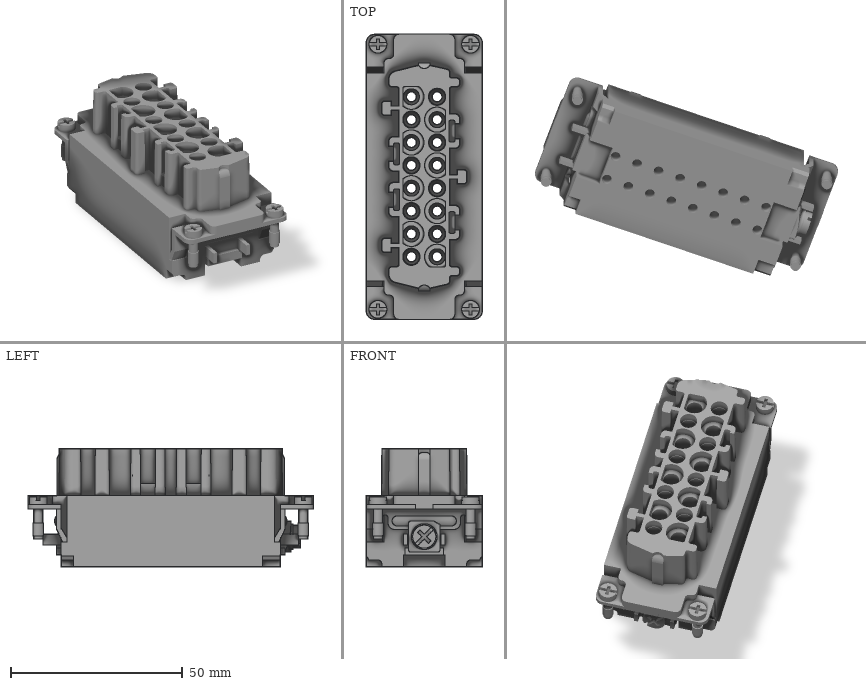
import cadquery as cq
import math

TOTAL_HEIGHT = 34.6
DECK_TOP = 20.9
FLANGE_TOP = 18.2
SHEET = 1.3
FLANGE_BOTTOM = FLANGE_TOP - SHEET

LENGTH = 83.5
HALF_LENGTH = LENGTH / 2
WIDTH = 34.0
HALF_WIDTH = WIDTH / 2
BODY_END = 32.1
RECESS_HALF_X = 11.8
RECESS_END = 30.4
RECESS_FLOOR = 7.35
OPENING_TOP = 3.5
TAB_HALF_X = 8.9
TAB_SHOULDER = 34.6
TAB_RADIUS = 1.7
SHOULDER_RADIUS = 1.3

FLANGE_RADIUS = 2.5
FLANGE_KEY_HALF_X = 2.6
LEG_INNER_X = 12.3
BRACKET_SETBACK = 0.1
LEG_OUTER_X = HALF_WIDTH - BRACKET_SETBACK
FLANGE_END = HALF_LENGTH - BRACKET_SETBACK
LEG_BEND = 11.0
APRON_HALF_X = 10.6
APRON_BOTTOM = 10.9
APRON_RADIUS = 2.0
SLIT_TOP = 15.2
RIB_HALF_X = 7.9
RIB_Z = 13.45
RIB_WIDTH = 2.9
RIB_RISE = 0.6

SCREW_X = 13.5
SCREW_Y = 38.75
HEAD_DIAMETER = 5.2
HEAD_HEIGHT = 2.25
DRIVE_WIDTH = 1.0
DRIVE_DEPTH = 1.1

PITCH = 6.7
ROWS = 8
COLUMN_X = 3.75
POCKET_RADIUS = 3.7
POCKET_HALF_X = 6.3
POCKET_END = 26.4
POCKET_DEPTH = 2.9
RIM_DIAMETER = 5.0
BORE_DIAMETER = 4.7
WIRE_DIAMETER = 2.8
BORE_FLOOR = 22.55

BLOCK_HEIGHT = TOTAL_HEIGHT - DECK_TOP
DRAFT = 0.5
CORE_HALF_X = 7.5
LUG_X = 10.4
HEAD_START = 26.2
LUG_END = 29.0
HEAD_SIDE_END = 31.3
HEAD_TIP = 32.65
HEAD_CORNER = 30.5
HEAD_CORNER_RADIUS = 2.5
HEAD_SIDE_RADIUS = 1.0
LUG_RADIUS = 1.0
KEY_HALF_X = 1.7
KEY_TIP = 33.3
TEE_OUTER_X = 12.5
TEE_INNER_X = 9.6
TEE_RADIUS = 1.0
TEE_WIDTH = 4.3
TEE_HALF_Y = TEE_WIDTH / 2
NECK_WIDTH = 1.4
NECK_HALF_Y = NECK_WIDTH / 2
HOOK_OUTER_Y = 5.1
HOOK_RADIUS = 1.4
SLOT_HALF_Y = 3.2
SLOT_INNER_X = 7.2
SLOT_OUTER_X = 9.0
SLOT_FLOOR = 24.4
ROUND = 0.6

TERMINAL_Z = 8.85
CLAMP_SIDE = 9.1
CLAMP_FACE = 35.15
EARTH_HEAD_FACE = 37.9
EARTH_RIM_DIAMETER = 7.5
EARTH_RIM_HEIGHT = 0.6
EARTH_HEAD_DIAMETER = 6.8
FIN_INNER_X = 4.85
FIN_OUTER_X = 6.0
FIN_BOTTOM = 6.35
FIN_TOP = 9.6
FIN_TIP = 37.4


def box(x0, x1, y0, y1, z0, z1):
    """Axis-aligned block between the given limits."""
    return cq.Workplane("XY").box(x1 - x0, y1 - y0, z1 - z0, centered=False).translate((x0, y0, z0))


def both_ends(shape):
    """The shape together with its mirror image at the other Y end."""
    return shape.union(shape.mirror("XZ"))


def both_sides(shape):
    """The shape together with its mirror image at the other X side."""
    return shape.union(shape.mirror("YZ"))


def cylinder(diameter, z0, z1):
    """Upright cylinder on the Z axis between two heights."""
    return cq.Workplane("XY").workplane(offset=z0).circle(diameter / 2).extrude(z1 - z0)


def cross_drive(diameter, cross_length, top):
    """Slot across a whole screw head, crossed by a shorter one."""
    half_width = DRIVE_WIDTH / 2
    floor = top - DRIVE_DEPTH
    slot = box(-diameter / 2, diameter / 2, -half_width, half_width, floor, top)
    cross = box(-half_width, half_width, -cross_length / 2, cross_length / 2, floor, top)
    return slot.union(cross)


def body():
    """Box-shaped housing with corner recesses, a low opening at each end, and bottom corner notches."""
    shape = box(-HALF_WIDTH, HALF_WIDTH, -BODY_END, BODY_END, 0, DECK_TOP)
    recess = box(RECESS_HALF_X, HALF_WIDTH, RECESS_END, BODY_END, RECESS_FLOOR, DECK_TOP)
    shape = shape.cut(both_ends(both_sides(recess)))

    opening_half_x, opening_depth = 6.0, 7.1
    opening = box(-opening_half_x, opening_half_x, BODY_END - opening_depth, BODY_END, 0, OPENING_TOP)
    shape = shape.cut(both_ends(opening))

    notch_x, notch_top, notch_edge_top, edge_bevel = 12.35, 2.1, 3.25, 0.8
    notch_radius = 1.4
    bend = math.sqrt(0.5)
    outline = (
        cq.Workplane("XZ")
        .moveTo(HALF_WIDTH, 0)
        .lineTo(notch_x, 0)
        .lineTo(notch_x, notch_top - notch_radius)
        .threePointArc(
            (notch_x + notch_radius * (1 - bend), notch_top - notch_radius * (1 - bend)),
            (notch_x + notch_radius, notch_top),
        )
        .lineTo(HALF_WIDTH - edge_bevel, notch_top)
        .lineTo(HALF_WIDTH, notch_edge_top)
        .close()
    )
    notch = outline.extrude(2 * BODY_END).translate((0, BODY_END, 0))
    front_length, back_length = 5.3, 3.7
    middle = box(-HALF_WIDTH, HALF_WIDTH, front_length - BODY_END, BODY_END - back_length, 0, notch_edge_top)
    notch = notch.cut(middle)
    return shape.cut(both_sides(notch))


def end_tab():
    """Deck extension above the bracket flange, with a key through the flange."""
    sketch = cq.Workplane("XY").polyline([
        (-RECESS_HALF_X, RECESS_END), (-RECESS_HALF_X, TAB_SHOULDER), (-TAB_HALF_X, TAB_SHOULDER),
        (-TAB_HALF_X, HALF_LENGTH), (TAB_HALF_X, HALF_LENGTH), (TAB_HALF_X, TAB_SHOULDER),
        (RECESS_HALF_X, TAB_SHOULDER), (RECESS_HALF_X, RECESS_END),
    ]).close()
    tab = sketch.extrude(DECK_TOP - FLANGE_TOP).translate((0, 0, FLANGE_TOP))
    tab = tab.edges("|Z and >Y").fillet(TAB_RADIUS)
    shoulders = cq.selectors.BoxSelector(
        (-HALF_WIDTH, TAB_SHOULDER - ROUND, 0), (HALF_WIDTH, TAB_SHOULDER + ROUND, TOTAL_HEIGHT)
    )
    tab = tab.edges("|Z").edges(shoulders).fillet(SHOULDER_RADIUS)
    key = box(-FLANGE_KEY_HALF_X, FLANGE_KEY_HALF_X, BODY_END, HALF_LENGTH, FLANGE_BOTTOM, FLANGE_TOP)
    return tab.union(key)


def bracket():
    """Sheet metal end bracket: flange, apron with a raised rib, and two bent legs."""
    outer = BODY_END + SHEET
    flange = box(-HALF_WIDTH, HALF_WIDTH, BODY_END, FLANGE_END, FLANGE_BOTTOM, FLANGE_TOP)
    flange = flange.edges("|Z and >Y").fillet(FLANGE_RADIUS)

    slit_radius = (LEG_INNER_X - APRON_HALF_X) / 2
    slit_springing = SLIT_TOP - slit_radius
    band = box(-LEG_OUTER_X, LEG_OUTER_X, BODY_END, outer, slit_springing, FLANGE_BOTTOM)
    apron = box(-APRON_HALF_X, APRON_HALF_X, BODY_END, outer, APRON_BOTTOM, FLANGE_BOTTOM)
    apron = apron.edges("|Y and <Z").fillet(APRON_RADIUS)

    leg_tip_y = 31.65
    inner_bend = LEG_BEND + SHEET / 4
    leg = (
        cq.Workplane("YZ")
        .polyline([
            (outer, FLANGE_BOTTOM), (outer, LEG_BEND), (leg_tip_y, RECESS_FLOOR), (RECESS_END, RECESS_FLOOR),
            (RECESS_END, RECESS_FLOOR + SHEET), (BODY_END, inner_bend), (BODY_END, FLANGE_BOTTOM),
        ])
        .close()
        .extrude(LEG_OUTER_X - LEG_INNER_X)
        .translate((LEG_INNER_X, 0, 0))
    )
    slit = (
        cq.Workplane("XZ")
        .center((LEG_INNER_X + APRON_HALF_X) / 2, slit_springing)
        .circle(slit_radius)
        .extrude(-outer)
    )
    band = band.cut(both_sides(slit))

    half_chord = RIB_WIDTH / 2
    rib_radius = (half_chord ** 2 + RIB_RISE ** 2) / (2 * RIB_RISE)
    rib_y = outer + RIB_RISE - rib_radius
    rib = (
        cq.Workplane("YZ").center(rib_y, RIB_Z).circle(rib_radius)
        .extrude(RIB_HALF_X, both=True)
    )
    ball = cq.Workplane("XY").sphere(rib_radius).translate((RIB_HALF_X, rib_y, RIB_Z))
    rib = rib.union(both_sides(ball))
    rib = rib.intersect(box(-HALF_WIDTH, HALF_WIDTH, BODY_END, HALF_LENGTH, 0, DECK_TOP))

    return flange.union(band).union(apron).union(both_sides(leg)).union(rib)


def corner_screw():
    """Captive screw through the flange, at the +X +Y corner."""
    shank_diameter, collar_diameter = 2.7, 3.2
    collar_top, collar_bottom, tip = 12.9, 9.1, 8.1
    head_top = FLANGE_TOP + HEAD_HEIGHT
    cross_length = 3.2
    screw = cylinder(HEAD_DIAMETER, FLANGE_BOTTOM, head_top)
    screw = screw.union(cylinder(shank_diameter, tip, FLANGE_TOP))
    screw = screw.union(cylinder(collar_diameter, collar_bottom, collar_top))
    screw = screw.cut(cross_drive(HEAD_DIAMETER, cross_length, head_top))
    return screw.translate((SCREW_X, SCREW_Y, 0))


def end_fittings():
    """Stepped boss and pair of fins on the lower end wall."""
    boss_half_x, boss_top = 5.7, 5.5
    step_half_x = CLAMP_SIDE / 2
    boss_face = BODY_END + SHEET
    boss = box(-boss_half_x, boss_half_x, BODY_END, boss_face, OPENING_TOP, boss_top)
    step = box(-step_half_x, step_half_x, BODY_END, boss_face, boss_top, FIN_BOTTOM)
    fin = box(FIN_INNER_X, FIN_OUTER_X, BODY_END, FIN_TIP, FIN_BOTTOM, FIN_TOP)
    return boss.union(step).union(both_sides(fin))


def earth_terminal():
    """Square clamp plate, crowned across one diagonal, and screw head on the -Y end wall."""
    clamp_radius, crown_radius = 0.6, 12.5
    cross_length = 4.5
    face = CLAMP_FACE - BODY_END
    top = EARTH_HEAD_FACE - BODY_END
    clamp = cq.Workplane("XY").rect(CLAMP_SIDE, CLAMP_SIDE).extrude(face)
    clamp = clamp.edges("|Z").fillet(clamp_radius)
    crown = cq.Workplane("XZ").circle(crown_radius).extrude(CLAMP_SIDE, both=True)
    crown = crown.rotate((0, 0, 0), (0, 0, 1), 45).translate((0, 0, face - crown_radius))
    clamp = clamp.intersect(crown)
    head = cylinder(EARTH_RIM_DIAMETER, 0, face + EARTH_RIM_HEIGHT)
    head = head.union(cylinder(EARTH_HEAD_DIAMETER, 0, top))
    drive = cross_drive(EARTH_HEAD_DIAMETER, cross_length, top)
    drive = drive.rotate((0, 0, 0), (0, 0, 1), 45)
    terminal = clamp.union(head).cut(drive)
    return terminal.rotate((0, 0, 0), (1, 0, 0), 90).translate((0, -BODY_END, TERMINAL_Z))


def rounded_prism(corners):
    """Drafted prism on the deck; each corner is (x, y, radius), listed in order round the outline."""
    ends = []
    count = len(corners)
    for index, (x, y, radius) in enumerate(corners):
        corner = cq.Vector(x, y)
        before = (cq.Vector(*corners[index - 1][:2]) - corner).normalized()
        after = (cq.Vector(*corners[(index + 1) % count][:2]) - corner).normalized()
        half_angle = before.getAngle(after) / 2
        setback = radius / math.tan(half_angle)
        centre_gap = radius / math.sin(half_angle)
        middle = corner + (before + after).normalized() * (centre_gap - radius)
        ends.append((corner + before * setback, middle, corner + after * setback, radius))

    path = cq.Workplane("XY").moveTo(*ends[-1][2].toTuple()[:2])
    for start, middle, finish, radius in ends:
        path = path.lineTo(start.x, start.y)
        if radius > 0:
            path = path.threePointArc((middle.x, middle.y), (finish.x, finish.y))
    prism = path.wire().extrude(BLOCK_HEIGHT, taper=DRAFT)
    return prism.translate((0, 0, DECK_TOP))


def block_core():
    """Long central wall that holds the contacts."""
    return rounded_prism([
        (-CORE_HALF_X, -HEAD_START, 0), (CORE_HALF_X, -HEAD_START, 0),
        (CORE_HALF_X, HEAD_START, 0), (-CORE_HALF_X, HEAD_START, 0),
    ])


def block_head():
    """Pointed end of the mating block, with a lug on the +X side and a ridge at the tip."""
    root = HEAD_START - 2 * ROUND
    head = rounded_prism([
        (-CORE_HALF_X, root, 0), (CORE_HALF_X, root, 0),
        (CORE_HALF_X, HEAD_START, ROUND), (LUG_X, HEAD_START, LUG_RADIUS), (LUG_X, LUG_END, LUG_RADIUS),
        (CORE_HALF_X, LUG_END, ROUND), (CORE_HALF_X, HEAD_SIDE_END, HEAD_SIDE_RADIUS),
        (KEY_HALF_X, HEAD_TIP, 0), (-KEY_HALF_X, HEAD_TIP, 0),
        (-LUG_X, HEAD_CORNER, HEAD_CORNER_RADIUS), (-LUG_X, HEAD_START, LUG_RADIUS),
        (-CORE_HALF_X, HEAD_START, ROUND),
    ])
    key = box(-KEY_HALF_X, KEY_HALF_X, HEAD_START, KEY_TIP, DECK_TOP, TOTAL_HEIGHT)
    return head.union(key).cut(key_scoop())


def key_scoop():
    """Round scoop at the top of the tip ridge; its floor curves down to the ridge face."""
    scoop_depth_y, floor_back, floor_front = 1.0, 33.5, 31.4
    scoop_end = HEAD_TIP - scoop_depth_y
    radius = (KEY_HALF_X ** 2 + scoop_depth_y ** 2) / (2 * scoop_depth_y)
    round_cut = cylinder(2 * radius, floor_front, TOTAL_HEIGHT).translate((0, scoop_end + radius, 0))
    bulge = 0.25
    floor_middle = ((scoop_end + KEY_TIP) / 2 + bulge, (floor_back + floor_front) / 2 + bulge)
    above_floor = (
        cq.Workplane("YZ")
        .moveTo(scoop_end, TOTAL_HEIGHT)
        .lineTo(scoop_end, floor_back)
        .threePointArc(floor_middle, (KEY_TIP, floor_front))
        .lineTo(KEY_TIP, TOTAL_HEIGHT)
        .close()
        .extrude(KEY_HALF_X, both=True)
    )
    return round_cut.intersect(above_floor)


def block_tee():
    """T-shaped rail on the +X side of the core, centred on Y = 0."""
    root = CORE_HALF_X - ROUND
    return rounded_prism([
        (root, -NECK_HALF_Y, 0), (TEE_INNER_X, -NECK_HALF_Y, 0), (TEE_INNER_X, -TEE_HALF_Y, 0),
        (TEE_OUTER_X, -TEE_HALF_Y, TEE_RADIUS), (TEE_OUTER_X, TEE_HALF_Y, TEE_RADIUS),
        (TEE_INNER_X, TEE_HALF_Y, 0), (TEE_INNER_X, NECK_HALF_Y, 0), (root, NECK_HALF_Y, 0),
    ])


def hook():
    """Hook rail on the +X side, the +Y one of a pair centred on Y = 0."""
    root = CORE_HALF_X - ROUND
    return rounded_prism([
        (root, TEE_HALF_Y, 0), (LUG_X, TEE_HALF_Y, 0), (LUG_X, HOOK_OUTER_Y, HOOK_RADIUS),
        (root, HOOK_OUTER_Y, 0),
    ])


def hook_slot(z0, z1):
    """Slot between the hooks of a pair on the +X side, between two heights."""
    slot = box(SLOT_INNER_X, SLOT_OUTER_X, -SLOT_HALF_Y, SLOT_HALF_Y, z0, z1)
    return slot.edges("|Z").fillet(ROUND)


def contact_cuts(x, y, wide):
    """Stepped, funnelled bore through the whole part below a narrow or wide entry."""
    entry_radius = POCKET_RADIUS if wide else RIM_DIAMETER / 2
    entry_floor = TOTAL_HEIGHT - POCKET_DEPTH
    funnel = (BORE_DIAMETER - WIRE_DIAMETER) / 2
    entry = cylinder(2 * entry_radius, entry_floor, TOTAL_HEIGHT).translate((x, y, 0))
    entry = entry.intersect(
        box(-POCKET_HALF_X, POCKET_HALF_X, -POCKET_END, POCKET_END, 0, TOTAL_HEIGHT)
    )
    bore = (
        cq.Workplane("XZ")
        .polyline([
            (0, 0), (WIRE_DIAMETER / 2, 0), (WIRE_DIAMETER / 2, BORE_FLOOR - funnel),
            (BORE_DIAMETER / 2, BORE_FLOOR), (BORE_DIAMETER / 2, entry_floor), (0, entry_floor),
        ])
        .close()
        .revolve(360, (0, 0, 0), (0, 1, 0))
        .translate((x, y, 0))
    )
    return entry.union(bore)


def contact_grid():
    """Two columns of contacts; wide and narrow entries alternate along and across the grid."""
    cuts = cq.Workplane("XY")
    for row in range(ROWS):
        y = (row - (ROWS - 1) / 2) * PITCH
        for column, x in enumerate((-COLUMN_X, COLUMN_X)):
            wide = (row + column) % 2 == 1
            cuts = cuts.add(contact_cuts(x, y, wide))
    return cuts.combine(glue=True)


def place_rail(rail, side, y):
    """A +X side rail moved to the given Y, and turned to the -X side when side is negative."""
    turn = 0 if side > 0 else 180
    return rail.rotate((0, 0, 0), (0, 0, 1), turn).translate((0, y, 0))


end_hardware = end_tab().union(bracket()).union(both_sides(corner_screw())).union(end_fittings())
result = body().union(both_ends(end_hardware)).union(earth_terminal())

block = block_core().union(both_ends(block_head()))

tee = block_tee()
for side, y in [(1, 0), (-1, 3 * PITCH), (-1, -3 * PITCH)]:
    block = block.union(place_rail(tee, side, y))

hook_pair = both_ends(hook()).union(hook_slot(DECK_TOP, SLOT_FLOOR))
slot = hook_slot(SLOT_FLOOR, TOTAL_HEIGHT)
for side, y in [(1, 2 * PITCH), (1, -2 * PITCH), (-1, PITCH), (-1, -PITCH)]:
    block = block.union(place_rail(hook_pair, side, y)).cut(place_rail(slot, side, y))

result = result.union(block).cut(contact_grid())